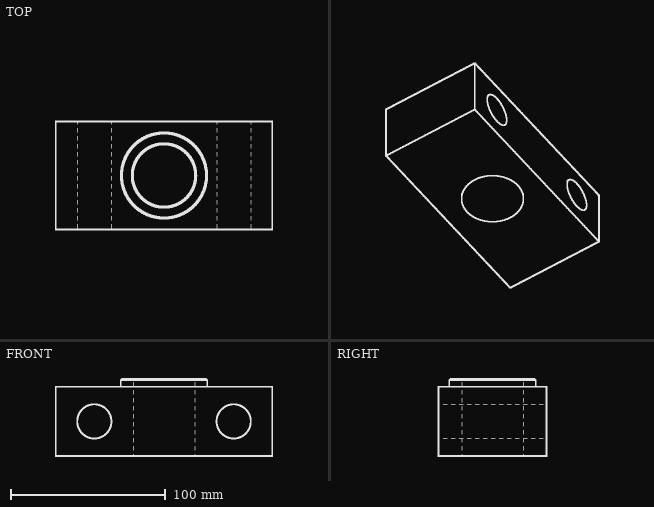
import cadquery as cq

block_length = 140.0
block_width = 70.0
block_height = 45.0

total_height = 50.0
collar_height = total_height - block_height
collar_diameter = 56.0
bore_diameter = 40.0
edge_chamfer = 1.0

cross_hole_diameter = 22.0
cross_hole_spacing = 90.0


def make_block():
    """Block centred in X and Y, resting on Z = 0."""
    return cq.Workplane("XY").box(
        block_length, block_width, block_height, centered=(True, True, False)
    )


def make_collar():
    """Round collar on top of the block with a chamfered outer rim."""
    return (
        cq.Workplane("XY", origin=(0, 0, block_height))
        .circle(collar_diameter / 2)
        .extrude(collar_height)
        .faces(">Z")
        .chamfer(edge_chamfer)
    )


def make_bore():
    """Vertical through bore, widened by a chamfer at its upper mouth."""
    bore = cq.Workplane("XY").circle(bore_diameter / 2).extrude(total_height)
    mouth = (
        cq.Workplane("XY", origin=(0, 0, total_height - edge_chamfer))
        .circle(bore_diameter / 2)
        .workplane(offset=edge_chamfer)
        .circle(bore_diameter / 2 + edge_chamfer)
        .loft()
    )
    return bore.union(mouth)


def make_cross_holes():
    """Two parallel holes running through the block along Y."""
    half_spacing = cross_hole_spacing / 2
    return (
        cq.Workplane("XZ", origin=(0, 0, block_height / 2))
        .pushPoints([(-half_spacing, 0), (half_spacing, 0)])
        .circle(cross_hole_diameter / 2)
        .extrude(block_width / 2, both=True)
    )


result = make_block().union(make_collar()).cut(make_bore()).cut(make_cross_holes())